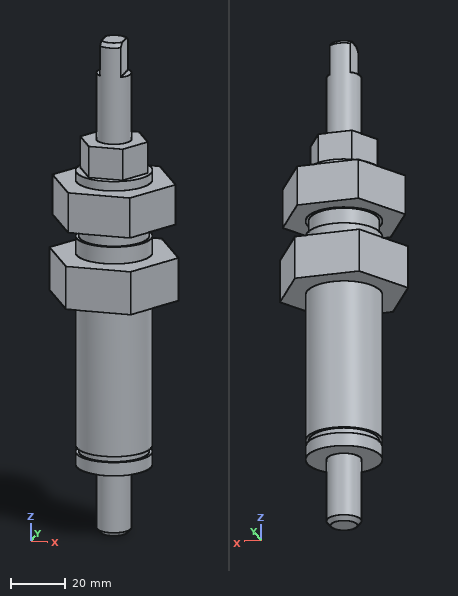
import cadquery as cq
import math

ROD_LENGTH = 190.5
BARREL_BOTTOM = 26.1
GROOVE_BOTTOM = 31.2
GROOVE_TOP = 33.5
FLANGE_BOTTOM = 91.5
FLANGE_TOP = 108.0
UNDERCUT_BOTTOM = 114.5
LOCKNUT_BOTTOM = 120.8
LOCKNUT_TOP = 136.2
BARREL_TOP = 139.8
HEAD_TOP = 151.8

ROD_DIAMETER = 13.0
BARREL_DIAMETER = 28.4
GROOVE_DIAMETER = 26.1
FLANGE_ACROSS_FLATS = 42.9
LOCKNUT_ACROSS_FLATS = 41.0
HEAD_ACROSS_FLATS = 22.5

TIP_FLAT_LENGTH = 13.0
TIP_THICKNESS = 8.0
TIP_CHAMFER_HEIGHT = 1.5
BOTTOM_CHAMFER_HEIGHT = 1.7
ROD_CHAMFER_WIDTH = 1.5


def cylinder(diameter, bottom, top):
    """Cylinder on the Z axis between two levels."""
    return cq.Workplane("XY").workplane(offset=bottom).circle(diameter / 2).extrude(top - bottom)


def hexagon(across_flats, bottom, top):
    """Hexagonal prism on the Z axis, with two corners on the X axis."""
    across_corners = across_flats / math.cos(math.pi / 6)
    return cq.Workplane("XY").workplane(offset=bottom).polygon(6, across_corners).extrude(top - bottom)


def make_rod():
    """Round rod with chamfered ends and two parallel flats at the upper tip."""
    radius = ROD_DIAMETER / 2
    end_radius = radius - ROD_CHAMFER_WIDTH
    rod = (
        cq.Workplane("XZ")
        .moveTo(0, 0)
        .lineTo(end_radius, 0)
        .lineTo(radius, BOTTOM_CHAMFER_HEIGHT)
        .lineTo(radius, ROD_LENGTH - TIP_CHAMFER_HEIGHT)
        .lineTo(end_radius, ROD_LENGTH)
        .lineTo(0, ROD_LENGTH)
        .close()
        .revolve(360, (0, 0, 0), (0, 1, 0))
    )
    flats_bottom = ROD_LENGTH - TIP_FLAT_LENGTH
    outside_flats = cylinder(2 * ROD_DIAMETER, flats_bottom, ROD_LENGTH).cut(
        cq.Workplane("XY")
        .workplane(offset=flats_bottom)
        .rect(TIP_THICKNESS, 2 * ROD_DIAMETER)
        .extrude(TIP_FLAT_LENGTH)
    )
    return rod.cut(outside_flats)


def make_housing():
    """Barrel with a hexagonal flange and head, an undercut, a ring groove and the rod bore."""
    barrel = cylinder(BARREL_DIAMETER, BARREL_BOTTOM, BARREL_TOP)
    for bottom, top in ((GROOVE_BOTTOM, GROOVE_TOP), (UNDERCUT_BOTTOM, LOCKNUT_BOTTOM)):
        ring = cylinder(BARREL_DIAMETER, bottom, top).cut(cylinder(GROOVE_DIAMETER, bottom, top))
        barrel = barrel.cut(ring)
    flange = hexagon(FLANGE_ACROSS_FLATS, FLANGE_BOTTOM, FLANGE_TOP)
    head = hexagon(HEAD_ACROSS_FLATS, BARREL_TOP, HEAD_TOP)
    bore = cylinder(ROD_DIAMETER, BARREL_BOTTOM, HEAD_TOP)
    return barrel.union(flange).union(head).cut(bore)


def make_locknut():
    """Hexagonal nut around the upper end of the barrel."""
    blank = hexagon(LOCKNUT_ACROSS_FLATS, LOCKNUT_BOTTOM, LOCKNUT_TOP)
    return blank.cut(cylinder(BARREL_DIAMETER, LOCKNUT_BOTTOM, LOCKNUT_TOP))


rod = make_rod()
housing = make_housing()
locknut = make_locknut()

result = cq.Compound.makeCompound([*rod.solids().vals(), *housing.solids().vals(), *locknut.solids().vals()])